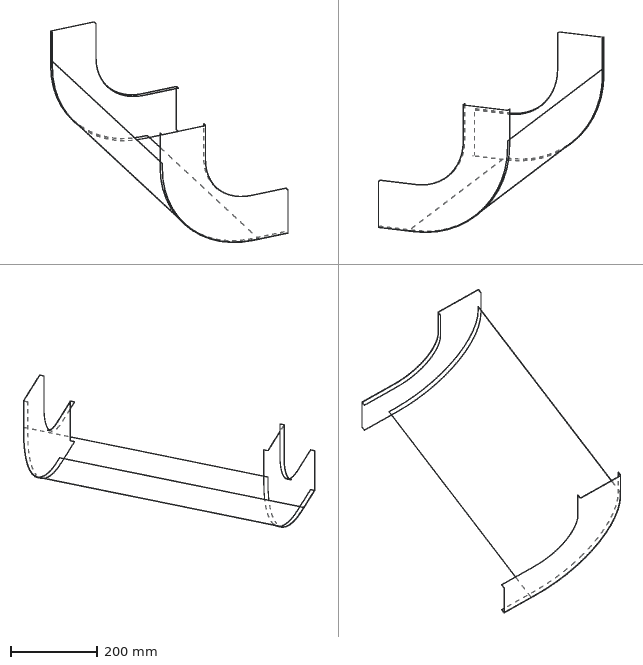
import cadquery as cq
import math

sheet_thickness = 1.0
overall_length = 603.0
inner_bend_radius = 1.0
flange_width = 11.0
outer_radius = 233.75
channel_depth = 113.0
channel_straight = 90.0
cover_straight = 15.0
pick_tolerance = 0.01

bend_axis = outer_radius
channel_end = bend_axis + channel_straight
inner_radius = outer_radius - channel_depth
outer_bend_radius = inner_bend_radius + sheet_thickness
half_overall = overall_length / 2
half_between_webs = half_overall - sheet_thickness
cover_outer_radius = outer_radius - sheet_thickness
cover_inner_radius = cover_outer_radius - sheet_thickness


def curved_band(large_radius, small_radius, straight, x_start, x_end):
    """Quarter-bend band with a straight run at each end, extruded along X."""
    end = bend_axis + straight
    large_side = bend_axis - large_radius
    small_side = bend_axis - small_radius
    large_middle = bend_axis - large_radius * math.sqrt(0.5)
    small_middle = bend_axis - small_radius * math.sqrt(0.5)
    return (
        cq.Workplane("YZ", origin=(x_start, 0, 0))
        .moveTo(large_side, end)
        .lineTo(large_side, bend_axis)
        .threePointArc((large_middle, large_middle), (bend_axis, large_side))
        .lineTo(end, large_side)
        .lineTo(end, small_side)
        .lineTo(bend_axis, small_side)
        .threePointArc((small_middle, small_middle), (small_side, bend_axis))
        .lineTo(small_side, end)
        .close()
        .extrude(x_end - x_start)
    )


def is_end_edge(edge):
    """True for an edge across an open end of a channel."""
    center = edge.Center()
    return max(center.y, center.z) > channel_end - pick_tolerance


def round_web_edges(band, web_face, radius):
    """Round the long edges of the web face and leave its end edges sharp."""
    web_edges = band.faces(web_face).edges().vals()
    long_edges = [edge for edge in web_edges if not is_end_edge(edge)]
    return band.newObject(long_edges).fillet(radius)


def side_channel(side):
    """Bent U-shaped channel with its flanges pointing inward; side is -1 or +1."""
    web_face = ">X" if side > 0 else "<X"
    web_outside = side * half_overall
    web_inside = side * half_between_webs
    flange_edge = side * (half_overall - flange_width)
    block = curved_band(outer_radius, inner_radius, channel_straight, web_outside, flange_edge)
    trough = curved_band(
        outer_radius - sheet_thickness,
        inner_radius + sheet_thickness,
        channel_straight,
        web_inside,
        flange_edge,
    )
    block = round_web_edges(block, web_face, outer_bend_radius)
    trough = round_web_edges(trough, web_face, inner_bend_radius)
    return block.cut(trough)


def cover_sheet():
    """Curved cover between the webs, lying against the inside of both outer flanges."""
    return curved_band(
        cover_outer_radius,
        cover_inner_radius,
        cover_straight,
        -half_between_webs,
        half_between_webs,
    )


cover = cover_sheet()

channels = [side_channel(side).cut(cover) for side in (-1, 1)]

result = cq.Compound.makeCompound([cover.val(), *[channel.solids().val() for channel in channels]])